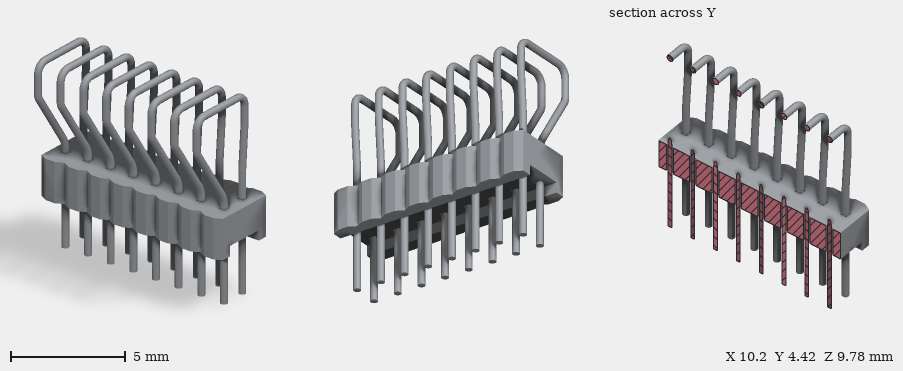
import cadquery as cq
import math

POSITIONS = 8
PITCH = 1.27
LENGTH = POSITIONS * PITCH

HOUSING_DEPTH = 3.4
HOUSING_HEIGHT = 2.01
SCALLOP_FLAT = 0.51
SCALLOP_DEPTH = 0.2
CHANNEL_WIDTH = 2.01
CHANNEL_HEIGHT = 0.51

WIRE_DIAMETER = 0.35
LEG_Y = PITCH / 2
LEG_BOTTOM = -2.6
LOOP_TOP = 7.18
LOOP_FRONT_OVERHANG = 1.02
LOOP_BACK_Y = 0.79
FRONT_LOWER_KNEE_Z = 2.48
FRONT_UPPER_KNEE_Z = 5.4
BACK_LOWER_KNEE_Z = 3.4
BACK_UPPER_KNEE_Z = 5.55
BEND_RADIUS = 0.52
FRONT_LOWER_BEND_RADIUS = 1.18
BACK_LOWER_BEND_RADIUS = 2.03

WIRE_RADIUS = WIRE_DIAMETER / 2
LOOP_FRONT_Y = -(HOUSING_DEPTH / 2 + LOOP_FRONT_OVERHANG - WIRE_RADIUS)
LOOP_TOP_AXIS_Z = LOOP_TOP - WIRE_RADIUS
POSITION_X = [(i - (POSITIONS - 1) / 2) * PITCH for i in range(POSITIONS)]


def make_housing():
    """Scalloped block with a channel underneath and square through holes for the legs."""
    crest_y = HOUSING_DEPTH / 2
    notch_y = crest_y - SCALLOP_DEPTH
    front_edge = [(-LENGTH / 2, -notch_y)]
    for x in POSITION_X:
        front_edge.append((x - SCALLOP_FLAT / 2, -crest_y))
        front_edge.append((x + SCALLOP_FLAT / 2, -crest_y))
        front_edge.append((x + PITCH / 2, -notch_y))
    back_edge = [(x, -y) for x, y in reversed(front_edge)]
    block = cq.Workplane("XY").polyline(front_edge + back_edge).close().extrude(HOUSING_HEIGHT)

    channel = cq.Workplane("XY").box(LENGTH, CHANNEL_WIDTH, CHANNEL_HEIGHT, centered=(True, True, False))

    leg_places = [(x, y) for x in POSITION_X for y in (-LEG_Y, LEG_Y)]
    leg_holes = (
        cq.Workplane("XY")
        .pushPoints(leg_places)
        .rect(WIRE_DIAMETER, WIRE_DIAMETER)
        .extrude(HOUSING_HEIGHT)
    )
    return block.cut(channel).cut(leg_holes)


def bend_ends(before, corner, after, radius):
    """Tangent points where a bend of the given radius starts and ends at a corner."""
    to_before = (cq.Vector(*before) - cq.Vector(*corner)).normalized()
    to_after = (cq.Vector(*after) - cq.Vector(*corner)).normalized()
    setback = radius / math.tan(to_before.getAngle(to_after) / 2)
    start = cq.Vector(*corner) + to_before * setback
    end = cq.Vector(*corner) + to_after * setback
    return (start.x, start.y), (end.x, end.y)


def make_wire_loop():
    """Round wire bent in the YZ plane, from the front leg over the top to the back leg."""
    front_leg_end = (-LEG_Y, LEG_BOTTOM)
    back_leg_end = (LEG_Y, LEG_BOTTOM)
    bends = [
        ((-LEG_Y, FRONT_LOWER_KNEE_Z), FRONT_LOWER_BEND_RADIUS),
        ((LOOP_FRONT_Y, FRONT_UPPER_KNEE_Z), BEND_RADIUS),
        ((LOOP_FRONT_Y, LOOP_TOP_AXIS_Z), BEND_RADIUS),
        ((LOOP_BACK_Y, LOOP_TOP_AXIS_Z), BEND_RADIUS),
        ((LOOP_BACK_Y, BACK_UPPER_KNEE_Z), BEND_RADIUS),
        ((LEG_Y, BACK_LOWER_KNEE_Z), BACK_LOWER_BEND_RADIUS),
    ]
    corners = [front_leg_end] + [corner for corner, _ in bends] + [back_leg_end]

    path = cq.Workplane("YZ").moveTo(*front_leg_end)
    for i, (corner, radius) in enumerate(bends):
        bend_start, bend_end = bend_ends(corners[i], corner, corners[i + 2], radius)
        path = path.lineTo(*bend_start).tangentArcPoint(bend_end, relative=False)
    path = path.lineTo(*back_leg_end)

    section = cq.Workplane("XY", origin=(0, -LEG_Y, LEG_BOTTOM)).circle(WIRE_RADIUS)
    return section.sweep(path)


housing = make_housing()
wire_loop = make_wire_loop()
wire_loops = [wire_loop.translate((x, 0, 0)).val() for x in POSITION_X]

result = cq.Compound.makeCompound([housing.val(), *wire_loops])